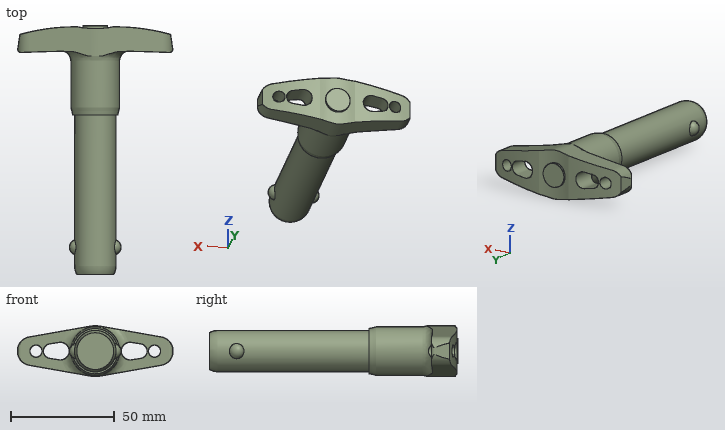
import cadquery as cq
import math


shank_diameter = 20.0
shank_radius = shank_diameter / 2
shank_length = 77.0
tip_radius = 8.9
tip_length = 4.0

ball_radius = 3.7
ball_center_x = 8.8
ball_from_tip = 13.2

collar_diameter = 23.5
collar_radius = collar_diameter / 2
collar_end_radius = 10.9
collar_lip_radius = 11.3
collar_lip_length = 1.8
collar_taper_length = 3.6

handle_width = 24.6
handle_center_radius = handle_width / 2
outline_length = 75.2
outline_half_length = outline_length / 2
handle_side_angle = 10

underside_end_y = 30.0
underside_rise = 0.8
back_end_x = 36.4
back_end_y = 38.9
back_mid_x = 24.0
back_mid_y = 41.5
back_ridge_x = 8.6
back_ridge_y = 42.6
back_dip_y = 41.7
end_taper_angle = 8.5
end_round_radius = 1.7

bar_half_depth = 19.2

neck_fillet_radius = 4.7

collar_overlap = 2.4

button_radius = 6.0
button_top_y = 43.1

slot_inner_x = 16.8
slot_inner_radius = 4.2
slot_outer_x = 21.5
slot_outer_radius = 3.5
hole_x = 28.6
hole_radius = 2.9

through_depth = 120.1

pick_margin = 0.1


def tapered_bar(x_a, radius_a, x_b, radius_b, depth):
    """Bar running from Y = 0 to Y = depth around two circles joined by their tangent lines."""
    side = 1 if x_b > x_a else -1
    slope_sin = (radius_a - radius_b) / abs(x_b - x_a)
    slope_cos = math.sqrt(1 - slope_sin**2)

    def tangent_point(x, radius):
        return x + side * radius * slope_sin, radius * slope_cos

    start_x, start_z = tangent_point(x_a, radius_a)
    end_x, end_z = tangent_point(x_b, radius_b)
    return (
        cq.Workplane("XZ")
        .moveTo(start_x, start_z)
        .lineTo(end_x, end_z)
        .threePointArc((x_b + side * radius_b, 0), (end_x, -end_z))
        .lineTo(start_x, -start_z)
        .threePointArc((x_a - side * radius_a, 0), (start_x, start_z))
        .close()
        .extrude(-depth)
    )


def handle_outline():
    """Prism of the handle's outer shape: a wide middle tapering to a rounded end on each arm."""
    slope_sin = math.sin(math.radians(handle_side_angle))
    end_center_x = (outline_half_length - handle_center_radius) / (1 - slope_sin)
    end_radius = outline_half_length - end_center_x
    arms = [
        tapered_bar(0, handle_center_radius, side * end_center_x, end_radius, through_depth)
        for side in (-1, 1)
    ]
    return arms[0].union(arms[1])


def handle_profile():
    """Curved bar with a bowed underside, an arched back and a shallow dip behind the button."""
    tip_x = back_end_x + (back_end_y - underside_end_y) * math.tan(math.radians(end_taper_angle))
    bar = (
        cq.Workplane("XY")
        .moveTo(-tip_x, underside_end_y)
        .threePointArc((0, underside_end_y + underside_rise), (tip_x, underside_end_y))
        .lineTo(back_end_x, back_end_y)
        .threePointArc((back_mid_x, back_mid_y), (back_ridge_x, back_ridge_y))
        .threePointArc((0, back_dip_y), (-back_ridge_x, back_ridge_y))
        .threePointArc((-back_mid_x, back_mid_y), (-back_end_x, back_end_y))
        .close()
        .extrude(bar_half_depth, both=True)
    )
    lower_ends = cq.selectors.BoxSelector(
        (-tip_x - pick_margin, underside_end_y - pick_margin, -pick_margin),
        (tip_x + pick_margin, underside_end_y + pick_margin, pick_margin),
    )
    return bar.edges("|Z").edges(lower_ends).fillet(end_round_radius)


def blended_bar():
    """Handle bar joined to the top of the collar by a concave fillet."""
    collar_top = (
        cq.Workplane("XZ", origin=(0, underside_end_y + collar_overlap, 0))
        .circle(collar_radius)
        .extrude(underside_end_y + collar_overlap - collar_taper_length)
    )
    joint = cq.selectors.BoxSelector(
        (-collar_radius, underside_end_y, -collar_radius),
        (collar_radius, underside_end_y + collar_overlap, collar_radius),
    )
    return handle_profile().union(collar_top).edges(joint).fillet(neck_fillet_radius)


def handle():
    """Bar trimmed to the outline, with a tapered slot and a round hole through each arm."""
    body = blended_bar().intersect(handle_outline())
    for side in (-1, 1):
        inner_x = side * slot_inner_x
        outer_x = side * slot_outer_x
        slot = tapered_bar(inner_x, slot_inner_radius, outer_x, slot_outer_radius, through_depth)
        hole = cq.Workplane("XZ").center(side * hole_x, 0).circle(hole_radius).extrude(-through_depth)
        body = body.cut(slot).cut(hole)
    return body


def pin():
    """Turned shank with a rounded tip, and the collar with its stepped taper."""
    tip_y = -shank_length
    return (
        cq.Workplane("XY")
        .moveTo(0, underside_end_y)
        .lineTo(collar_radius, underside_end_y)
        .lineTo(collar_radius, collar_taper_length)
        .lineTo(collar_lip_radius, collar_lip_length)
        .lineTo(collar_end_radius, 0)
        .lineTo(shank_radius, 0)
        .lineTo(shank_radius, tip_y + tip_length)
        .tangentArcPoint((tip_radius, tip_y), relative=False)
        .lineTo(0, tip_y)
        .close()
        .revolve(360, (0, 0, 0), (0, 1, 0))
    )


def button():
    """Round button standing slightly proud of the handle back."""
    height = button_top_y - underside_end_y - collar_overlap
    return cq.Workplane("XZ", origin=(0, button_top_y, 0)).circle(button_radius).extrude(height)


def balls():
    """Pair of locking balls bulging from opposite sides of the shank."""
    ball_y = ball_from_tip - shank_length
    return (
        cq.Workplane("XY")
        .pushPoints([(-ball_center_x, ball_y), (ball_center_x, ball_y)])
        .sphere(ball_radius)
    )


result = handle().union(pin()).union(button()).union(balls())